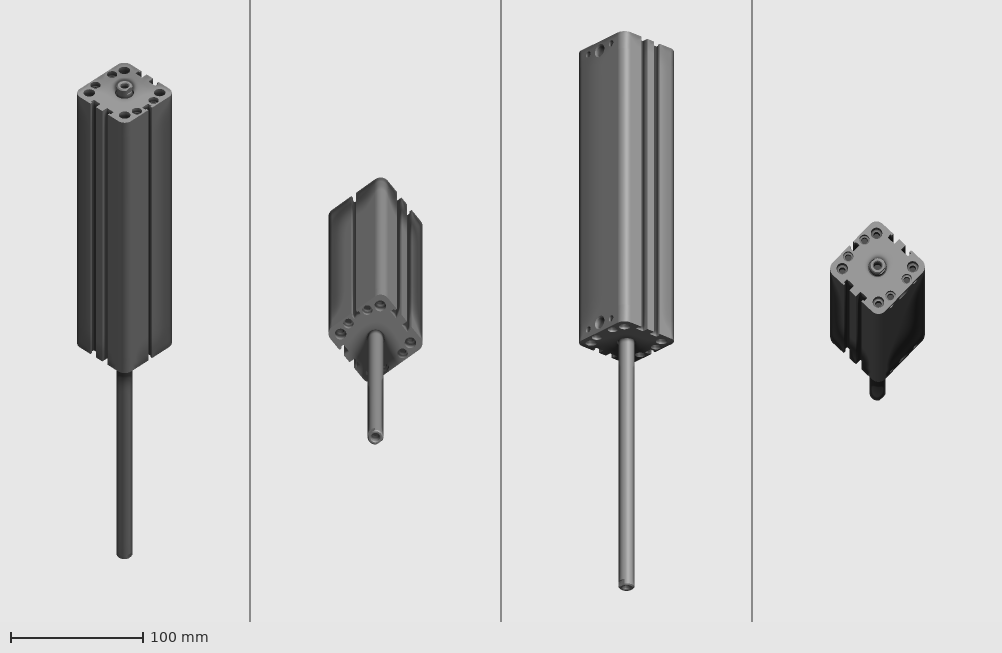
import cadquery as cq

SIDE = 54.5
HALF_SIDE = SIDE / 2
CORNER_RADIUS = 7.0
BODY_HEIGHT = 244.5
CAP_HEIGHT = 14.0
BARREL_HEIGHT = BODY_HEIGHT - 2 * CAP_HEIGHT

ROD_DIAMETER = 12.0
ROD_LENGTH = 459
ROD_TOP_OVERHANG = 7.5
ROD_BOTTOM = BODY_HEIGHT + ROD_TOP_OVERHANG - ROD_LENGTH
ROD_CHAMFER = 1.0
FLATS_WIDTH = 10.0
FLATS_LENGTH = 4.5
ROD_THREAD_DIAMETER = 6.5
ROD_THREAD_COUNTERSINK = 8.0
COUNTERSINK_ANGLE = 90
ROD_THREAD_DEPTH = 12.0

PAIR_INNER_EDGE = 3.45
PAIR_OPENING_EDGE = 9
PAIR_UNDERCUT_EDGE = 10.5
PAIR_DEPTH = 5.0
PAIR_LIP = 2.0

SENSOR_OPENING = 4.0
SENSOR_WIDTH = 6.5
SENSOR_DEPTH = 5.5
SENSOR_LIP = 2.0

MOUNT_SPACING = 37.5
MOUNT_DIAMETER = 5.0
MOUNT_BORE_DIAMETER = 8.5
MOUNT_BORE_DEPTH = 7.0
SCREW_SPACING_X = 44.0
SCREW_SPACING_Y = 18.0
SCREW_BORE_DIAMETER = 8.0
SCREW_BORE_DEPTH = 4.0
SCREW_DIAMETER = 5.0
SCREW_DEPTH = 8.3
WIPER_DIAMETER = 14.0
WIPER_DEPTH = 2.5

PORT_DIAMETER = 8.5
PORT_CHAMFER = 1.0
CHAMFER_TAPER = 45
PORT_DEPTH = 7.5
PORT_HEIGHT = 6.5
ADJUSTER_HEIGHT = 8.0
ADJUSTER_OFFSET = 13.0
ADJUSTER_BORE_DIAMETER = 5.0
ADJUSTER_BORE_DEPTH = 2.5
ADJUSTER_DIAMETER = 2.8
ADJUSTER_DEPTH = 4.5


def pair_slot(x_sign, y_sign, height):
    """One undercut slot; the signs pick the half and the face it lies in."""
    floor = HALF_SIDE - PAIR_DEPTH
    lip = HALF_SIDE - PAIR_LIP
    outline = [
        (PAIR_INNER_EDGE, HALF_SIDE),
        (PAIR_INNER_EDGE, floor),
        (PAIR_UNDERCUT_EDGE, floor),
        (PAIR_UNDERCUT_EDGE, lip),
        (PAIR_OPENING_EDGE, lip),
        (PAIR_OPENING_EDGE, HALF_SIDE),
    ]
    points = [(x_sign * x, y_sign * y) for x, y in outline]
    return cq.Workplane("XY").polyline(points).close().extrude(height)


def sensor_slot(height):
    """T-shaped slot in the +X face."""
    floor = cq.Workplane("XY", origin=(HALF_SIDE - SENSOR_DEPTH, 0, 0))
    on_floor = (False, True, False)
    opening = floor.box(SENSOR_DEPTH, SENSOR_OPENING, height, centered=on_floor)
    undercut = floor.box(SENSOR_DEPTH - SENSOR_LIP, SENSOR_WIDTH, height, centered=on_floor)
    return opening.union(undercut)


def make_profile(height):
    """Slotted, round-cornered square that fits closely around the rod, standing on Z = 0."""
    base = cq.Workplane("XY")
    profile = base.rect(SIDE, SIDE).extrude(height).edges("|Z").fillet(CORNER_RADIUS)
    for x_sign in (1, -1):
        for y_sign in (1, -1):
            profile = profile.cut(pair_slot(x_sign, y_sign, height))
    profile = profile.cut(sensor_slot(height))
    return profile.cut(base.circle(ROD_DIAMETER / 2).extrude(height))


def stepped_hole(places, bore_diameter, bore_depth, diameter, depth):
    """Counterbored holes at every place; positive depths run along the workplane normal."""
    bore = places.circle(bore_diameter / 2).extrude(bore_depth)
    return bore.union(places.circle(diameter / 2).extrude(depth))


def cut_end_holes(cap):
    """Mounting holes, screw holes and the wiper recess in the outer end of a cap."""
    end = cq.Workplane("XY", origin=(0, 0, CAP_HEIGHT))
    mounts = end.rect(MOUNT_SPACING, MOUNT_SPACING, forConstruction=True).vertices()
    screws = end.rect(SCREW_SPACING_X, SCREW_SPACING_Y, forConstruction=True).vertices()
    cap = cap.cut(
        stepped_hole(mounts, MOUNT_BORE_DIAMETER, -MOUNT_BORE_DEPTH, MOUNT_DIAMETER, -CAP_HEIGHT)
    )
    cap = cap.cut(
        stepped_hole(screws, SCREW_BORE_DIAMETER, -SCREW_BORE_DEPTH, SCREW_DIAMETER, -SCREW_DEPTH)
    )
    return cap.cut(end.circle(WIPER_DIAMETER / 2).extrude(-WIPER_DEPTH))


def cut_side_holes(cap):
    """Chamfered air port and the two adjuster holes in the -X face of a cap."""
    side = cq.Workplane("YZ", origin=(-HALF_SIDE, 0, 0))
    port = side.center(0, PORT_HEIGHT)
    cap = cap.cut(port.circle(PORT_DIAMETER / 2).extrude(PORT_DEPTH))
    cap = cap.cut(port.circle(PORT_DIAMETER / 2 + PORT_CHAMFER).extrude(PORT_CHAMFER, taper=CHAMFER_TAPER))
    adjusters = side.pushPoints([(y, ADJUSTER_HEIGHT) for y in (-ADJUSTER_OFFSET, ADJUSTER_OFFSET)])
    return cap.cut(
        stepped_hole(
            adjusters, ADJUSTER_BORE_DIAMETER, ADJUSTER_BORE_DEPTH, ADJUSTER_DIAMETER, ADJUSTER_DEPTH
        )
    )


def make_cap():
    """End cap with its joint face on Z = 0 and its outer end up."""
    return cut_side_holes(cut_end_holes(make_profile(CAP_HEIGHT)))


def make_barrel():
    """Plain length of the slotted profile between the caps."""
    return make_profile(BARREL_HEIGHT).translate((0, 0, CAP_HEIGHT))


def make_rod():
    """Rod with two wrench flats, a chamfer and a countersunk threaded hole at each end."""
    rod = cq.Workplane("XY").circle(ROD_DIAMETER / 2).extrude(ROD_LENGTH)
    rod = rod.faces("<Z or >Z").chamfer(ROD_CHAMFER)
    for z in (0, ROD_LENGTH - FLATS_LENGTH):
        end = cq.Workplane("XY", origin=(0, 0, z))
        blank = end.rect(ROD_DIAMETER, ROD_DIAMETER).extrude(FLATS_LENGTH)
        core = end.rect(FLATS_WIDTH, ROD_DIAMETER).extrude(FLATS_LENGTH)
        rod = rod.cut(blank.cut(core))
    for face in ("<Z", ">Z"):
        rod = rod.faces(face).workplane().cskHole(
            ROD_THREAD_DIAMETER, ROD_THREAD_COUNTERSINK, COUNTERSINK_ANGLE, ROD_THREAD_DEPTH
        )
    return rod.translate((0, 0, ROD_BOTTOM))


barrel = make_barrel()
upper_cap = make_cap().translate((0, 0, BODY_HEIGHT - CAP_HEIGHT))
lower_cap = make_cap().mirror("XY").translate((0, 0, CAP_HEIGHT))
rod = make_rod()

bodies = [barrel, upper_cap, lower_cap, rod]
result = cq.Compound.makeCompound([body.solids().val() for body in bodies])